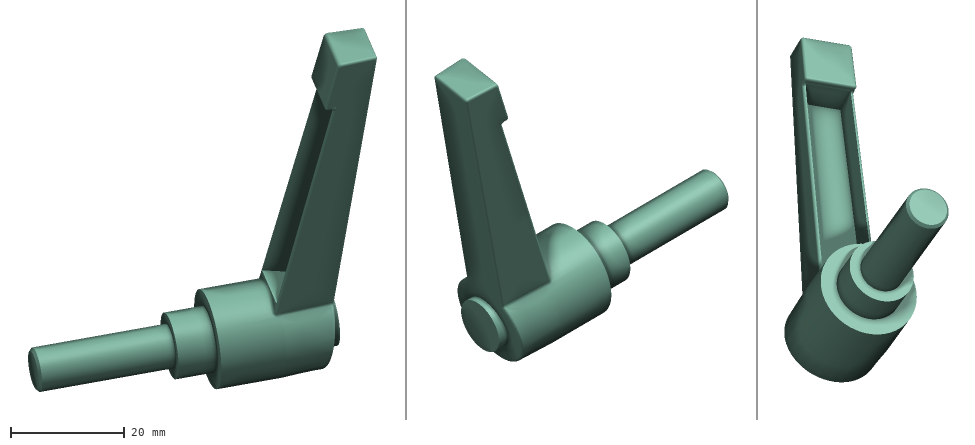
import cadquery as cq
import math


stud_radius = 4.0
stud_length = 25.0
stud_chamfer = 0.5
collar_radius = 6.0
collar_length = 7.0
button_radius = 5.15
button_end_y = 29.85

hub_radius = 9.0
hub_barrel_length = 12.0
hub_draft = math.tan(math.radians(2.0))
hub_blank_end_y = 36.0

edge_radius = 0.5
head_nose_radius = 0.8

overall_length = 61.93
overall_height = 70.71
back_angle = 8.5
front_angle = 14.0
back_slope = math.tan(math.radians(back_angle))
front_slope = math.tan(math.radians(front_angle))
top_corner_trim = edge_radius * (1 / math.tan(math.radians((90 - back_angle) / 2)) - 1)
arm_top_z = overall_height - hub_radius
arm_top_back_y = overall_length - stud_length + top_corner_trim
arm_root_z = 3.0
head_bottom_z = 51.7
head_bottom_y = 27.1
head_overhang = 1.7
head_top_y = head_bottom_y + (arm_top_z - head_bottom_z) * front_slope

arm_draft = math.tan(math.radians(3.0))
arm_width_at_seat = 12.67

pocket_depth = 5.0
pocket_rim = 0.6
pocket_bottom_z = 9.5
pocket_mouth_clearance = 0.3

REACH = 20.0


def back_y(z):
    """Y of the sloping back plane shared by the arm and the hub."""
    return arm_top_back_y - (arm_top_z - z) * back_slope


def front_y(z):
    """Y of the arm's front face below the head."""
    return head_bottom_y + head_overhang - (head_bottom_z - z) * front_slope


def side_prism(points):
    """Extrude a (y, z) outline symmetrically about X = 0."""
    return cq.Workplane("YZ").polyline(points).close().extrude(REACH, both=True)


def width_wedge(inset):
    """Tall wedge between the drafted sides of the arm, moved inward by an inset."""
    near_half = arm_width_at_seat / 2 - inset
    far_half = near_half - overall_length * arm_draft
    outline = [
        (-near_half, 0),
        (near_half, 0),
        (far_half, overall_length),
        (-far_half, overall_length),
    ]
    return cq.Workplane("XY").polyline(outline).close().extrude(overall_height)


def disc(radius, start_y, end_y):
    """Cylinder on the stud axis."""
    return cq.Workplane("XZ", origin=(0, start_y, 0)).circle(radius).extrude(start_y - end_y)


def make_hub_blank():
    """Straight barrel and drafted rear, longer than the finished hub."""
    seam_y = collar_length + hub_barrel_length
    end_radius = hub_radius - (hub_blank_end_y - seam_y) * hub_draft
    outline = [
        (0, collar_length),
        (hub_radius, collar_length),
        (hub_radius, seam_y),
        (end_radius, hub_blank_end_y),
        (0, hub_blank_end_y),
    ]
    return cq.Workplane("XY").polyline(outline).close().revolve(360, (0, 0, 0), (0, 1, 0))


def make_arm_blank():
    """Drafted arm with its overhanging head, all edges sharp."""
    profile = side_prism([
        (back_y(arm_root_z), arm_root_z),
        (arm_top_back_y, arm_top_z),
        (head_top_y, arm_top_z),
        (head_bottom_y, head_bottom_z),
        (head_bottom_y + head_overhang, head_bottom_z),
        (front_y(arm_root_z), arm_root_z),
    ])
    return profile.intersect(width_wedge(0))


def side_edges(min_y, max_y, min_z, max_z):
    """Selector for the edges along both sides of the arm within a Y and Z range."""
    inner_x = arm_width_at_seat / 4
    outer_x = arm_width_at_seat / 2
    left = cq.selectors.BoxSelector((-outer_x, min_y, min_z), (-inner_x, max_y, max_z))
    right = cq.selectors.BoxSelector((inner_x, min_y, min_z), (outer_x, max_y, max_z))
    return left + right


def cross_edge(y, z):
    """Selector for the edge that runs along X through (0, y, z)."""
    tolerance = 0.05
    return cq.selectors.BoxSelector(
        (-tolerance, y - tolerance, z - tolerance),
        (tolerance, y + tolerance, z + tolerance),
    )


def top_down(edge):
    """Sorting key that puts edges in a fixed order, highest first and then left to right."""
    center = edge.Center()
    return (-round(center.z, 3), round(center.x, 3))


def fillet_foot(body):
    """Round the front corners of the arm and the joint where the arm meets the hub."""
    front_corners = side_edges(0, head_bottom_y, hub_radius, head_bottom_z)
    half_width = arm_width_at_seat / 2
    joint = cq.selectors.BoxSelector(
        (-half_width, collar_length + edge_radius, hub_radius / 2),
        (half_width, hub_blank_end_y, hub_radius),
    )
    return body.edges(front_corners + joint).fillet(edge_radius)


def trim_to_back_plane(body):
    """Cut the hub off along the back plane of the arm."""
    low_z = -REACH
    high_z = overall_height
    return body.cut(side_prism([
        (back_y(low_z), low_z),
        (back_y(high_z), high_z),
        (overall_length, high_z),
        (overall_length, low_z),
    ]))


def round_head_and_back(body):
    """Round the nose of the head, then its other edges and the outline of the back face."""
    body = body.edges(cross_edge(head_top_y, arm_top_z)).fillet(head_nose_radius)
    back_normal = cq.Vector(0, math.cos(math.radians(back_angle)), -math.sin(math.radians(back_angle)))
    back_outline = body.faces(cq.selectors.ParallelDirSelector(back_normal)).edges().vals()
    head_sides = side_edges(0, overall_length, head_bottom_z - edge_radius, overall_height)
    head_edges = body.edges(head_sides + cross_edge(head_bottom_y, head_bottom_z)).vals()
    distinct_edges = {hash(edge): edge for edge in back_outline + head_edges}.values()
    ordered_edges = sorted(distinct_edges, key=top_down)
    return cq.Workplane(body.val().fillet(edge_radius, ordered_edges))


def make_pocket():
    """Rectangular pocket square to the front face, from just outside the face to its floor."""
    floor_dy = pocket_depth * math.cos(math.radians(front_angle))
    corners = [
        (pocket_bottom_z, -pocket_mouth_clearance),
        (pocket_bottom_z, floor_dy),
        (head_bottom_z, floor_dy),
        (head_bottom_z, -pocket_mouth_clearance),
    ]
    profile = side_prism([(front_y(z) + dy, z - dy * front_slope) for z, dy in corners])
    return profile.intersect(width_wedge(pocket_rim))


body = make_hub_blank().union(make_arm_blank())
body = fillet_foot(body)
body = trim_to_back_plane(body)
body = round_head_and_back(body)
body = body.cut(make_pocket())

button = disc(button_radius, collar_length, button_end_y)
collar = disc(collar_radius, 0, collar_length)
stud = disc(stud_radius, -stud_length, 0).faces("<Y").chamfer(stud_chamfer)
result = body.union(button).union(collar).union(stud)